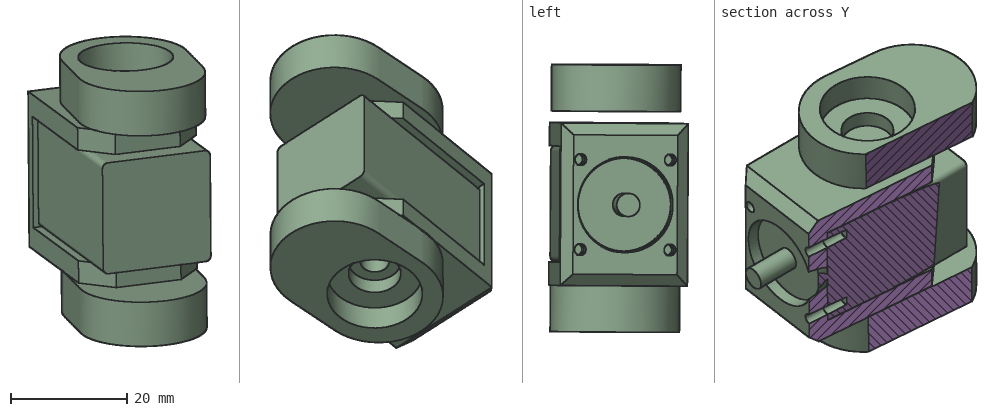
import cadquery as cq

housing_length = 30.0
housing_width = 22.0
housing_height = 28.0
pivot_to_front = 20.0
front_wall = 4.0
front_chamfer = 2.0
rear_chamfer = 5.0
pivot_hole_diameter = 5.0
pilot_opening_diameter = 16.5
screw_hole_diameter = 2.0
screw_spacing = 15.5

motor_length = 30.0
motor_size = 20.0
motor_edge_radius = 1.0
pilot_diameter = 16.0
pilot_height = 2.0
motor_screw_depth = 4.0
shaft_diameter = 4.0
shaft_length = 10.0

link_width = 22.2
link_reach_rear = 20.5
link_reach_front = 12.0
link_thickness = 8.0
bearing_seat_diameter = 16.4
bearing_seat_depth = 5.0
link_bore_diameter = 9.0
upper_link_gap = 2.0
lower_link_gap = 0.0

joint_angle = 5.0
link_yaw = -0.6
tilt_about_x = 0.33
tilt_about_y = -0.27

front_x = -pivot_to_front
motor_front_x = front_x + front_wall


def block(x_start, length, width, height):
    """A box centred on the X axis that starts at x_start."""
    return cq.Workplane("XY").box(length, width, height).translate((x_start + length / 2, 0, 0))


def rod(x_start, diameter, length):
    """A cylinder along the X axis that runs from x_start towards -X."""
    return cq.Workplane("YZ", origin=(x_start, 0, 0)).circle(diameter / 2).extrude(-length)


def screw_holes(x_start, depth):
    """The four motor screw holes as cylinders that run from x_start towards +X."""
    return (
        cq.Workplane("YZ", origin=(x_start, 0, 0))
        .rect(screw_spacing, screw_spacing, forConstruction=True)
        .vertices()
        .circle(screw_hole_diameter / 2)
        .extrude(depth)
    )


def make_housing():
    body = block(front_x, housing_length, housing_width, housing_height)
    body = body.faces("<X").chamfer(front_chamfer)
    body = body.edges("|Z and >X").chamfer(rear_chamfer)

    body = body.cut(block(motor_front_x, motor_length, housing_width, motor_size))

    opening = rod(motor_front_x, pilot_opening_diameter, front_wall)
    body = body.cut(opening).cut(screw_holes(front_x, front_wall))

    pivot_hole = cq.Workplane("XY").circle(pivot_hole_diameter / 2).extrude(housing_height / 2, both=True)
    return body.cut(pivot_hole)


def make_motor():
    can = block(motor_front_x, motor_length, motor_size, motor_size)
    can = can.edges("|X").fillet(motor_edge_radius)
    can = can.cut(screw_holes(motor_front_x, motor_screw_depth))
    pilot = rod(motor_front_x, pilot_diameter, pilot_height)
    shaft = rod(motor_front_x, shaft_diameter, shaft_length)
    return can.union(pilot).union(shaft)


def make_link():
    """A link on the XY plane, with its bearing seat open at the top."""
    length = link_reach_front + link_reach_rear
    centre_x = (link_reach_rear - link_reach_front) / 2
    plate = cq.Workplane("XY").center(centre_x, 0).slot2D(length, link_width).extrude(link_thickness)
    bore = cq.Workplane("XY").circle(link_bore_diameter / 2).extrude(link_thickness)
    seat = (
        cq.Workplane("XY", origin=(0, 0, link_thickness - bearing_seat_depth))
        .circle(bearing_seat_diameter / 2)
        .extrude(bearing_seat_depth)
    )
    return plate.cut(bore).cut(seat)


def turn(body, angle):
    return body.rotate((0, 0, 0), (0, 0, 1), angle)


def tilt(body):
    body = body.rotate((0, 0, 0), (1, 0, 0), tilt_about_x)
    return body.rotate((0, 0, 0), (0, 1, 0), tilt_about_y)


housing = tilt(turn(make_housing(), joint_angle))
motor = tilt(turn(make_motor(), joint_angle))

links = []
for flip_angle, gap in ((0, upper_link_gap), (180, lower_link_gap)):
    link = make_link().translate((0, 0, housing_height / 2 + gap))
    link = link.rotate((0, 0, 0), (1, 0, 0), flip_angle)
    links.append(tilt(turn(link, link_yaw)))

bodies = [housing, motor, *links]
result = cq.Compound.makeCompound([body.val() for body in bodies])